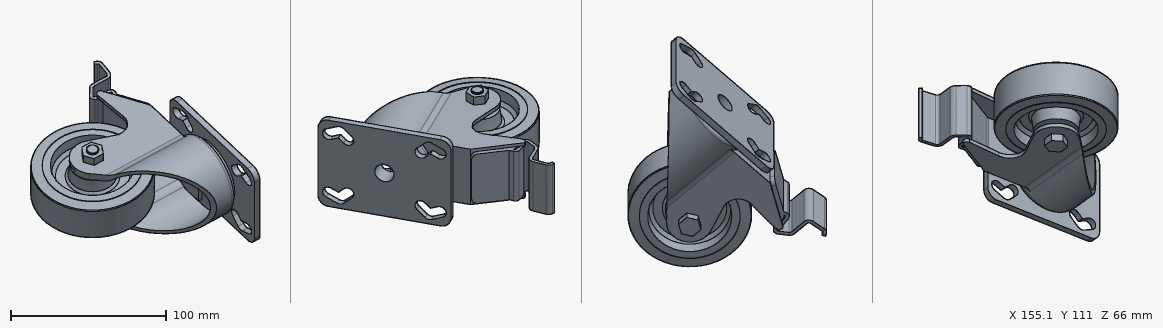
import cadquery as cq
import math


tread_radius = 40.0
tread_half_width = 12.0
tread_edge_inset = 0.5
tread_face_z = 12.7
tread_face_crest_z = 13.3
rim_diameter = 65.0
rim_radius = rim_diameter / 2
rim_face_z = 13.8
recess_radius = 27.1
recess_floor_radius = 23.9
recess_floor_z = 3.9
recess_wall_inset = 0.8
recess_foot_height = 2.3
hub_base_radius = 17.7
hub_radius = 14.5
hub_face_z = 14.7
hub_draft = 1.2
hub_foot_height = 1.5

bolt_radius = 4.0
washer_diameter = 10.4
washer_radius = washer_diameter / 2
hex_across_flats = 13.0
nut_top_z = 27.5
head_bottom_z = -26.5
bolt_end_z = 28.7
bolt_end_chamfer = 0.39

swivel_x = 40.0
head_radius = 28.5
head_top_y = 63.9
head_edge_radius = 2.8
race_radius = 24.2
center_hole_diameter = 13.0
plate_top_y = 71.0
plate_thickness = 4.5
plate_length = 90.2
plate_width = 66.0
plate_corner_radius = 7.3
slot_width = 8.0
slot_path = [(24.8, 20.5), (30.4, 25.5), (37.8, 22.3)]

wall = 2.8
leg_outer_z = 21.2
leg_inner_z = leg_outer_z - wall
cheek_inner_z = leg_inner_z - wall
leg_blend_radius = 7.0
leg_end_radius = 15.0
leg_top_y = 58.3
leg_shoulder_x = -14.3
leg_slope = math.radians(30.5)
leg_tip_x = -45.0
leg_tip_middle = (-44.6, 37.7)
leg_tip_bottom = (-42.8, 36.3)
skirt_corner_y = 48.5
arch_center = (-16.6, 27.6)
arch_radius = 10.5
arch_end_angle = math.radians(97)
bridge_length = 32.4
bridge_bend_radius = 3.1

pedal_width = 37.8
pedal_thickness = 2.3
strap_thickness = 3.1
strap_top_length = 26.4
loop_fill_length = 28.8
loop_fill_height = 2.3
strap_corner_radius = 4.3
pedal_corners = [
    (-69.0, 53.6, 0),
    (-67.1, 56.7, 2.5),
    (-53.3, 55.0, 3.4),
    (-53.3, 39.5, 3.7),
    (-44.5, 32.7, 2.0),
    (-42.0, 37.0, 1.2),
    (-43.5, 40.3, 1.2),
    (-42.0, 47.9, 1.5),
    (-37.2, 47.1, 0),
]

clearance = 1.5
plan_reach = plate_top_y

plate_bottom_y = plate_top_y - plate_thickness
skirt_x = swivel_x + head_radius


def polar(center, radius, angle):
    """Point at a distance and an angle in radians from a center."""
    return (center[0] + radius * math.cos(angle), center[1] + radius * math.sin(angle))


def cylinder_z(radius, z_low, z_high):
    """Cylinder around the wheel axle."""
    return cq.Workplane("XY").workplane(offset=z_low).circle(radius).extrude(z_high - z_low)


def cylinder_y(radius, y_low, y_high):
    """Cylinder around the swivel axis."""
    base = cq.Workplane("XZ", origin=(swivel_x, y_low, 0))
    return base.circle(radius).extrude(y_low - y_high)


def wheel():
    upper_half = [
        (tread_radius, tread_half_width),
        (tread_radius - tread_edge_inset, tread_face_z),
        (rim_radius, tread_face_crest_z),
        (rim_radius, rim_face_z),
        (recess_radius, rim_face_z),
        (recess_radius - recess_wall_inset, recess_floor_z + recess_foot_height),
        (recess_floor_radius, recess_floor_z),
        (hub_base_radius, recess_floor_z),
        (hub_radius + hub_draft, recess_floor_z + hub_foot_height),
        (hub_radius, hub_face_z),
        (0, hub_face_z),
    ]
    lower_half = [(r, -z) for r, z in reversed(upper_half)]
    section = cq.Workplane("XZ").polyline(upper_half + lower_half).close()
    return section.revolve(360, (0, 0), (0, 1))


def axle_bolt():
    shank = cylinder_z(bolt_radius, head_bottom_z, bolt_end_z)
    shank = shank.faces(">Z").chamfer(bolt_end_chamfer)
    washers = cylinder_z(washer_radius, -cheek_inner_z, cheek_inner_z)
    corner_diameter = hex_across_flats / math.cos(math.pi / 6)

    def hexagon(z_low, z_high):
        base = cq.Workplane("XY").workplane(offset=z_low).transformed(rotate=(0, 0, 30))
        return base.polygon(6, corner_diameter).extrude(z_high - z_low)

    nut = hexagon(leg_outer_z, nut_top_z)
    head = hexagon(head_bottom_z, -leg_outer_z)
    return shank.union(washers).union(nut).union(head)


def blend_arc(side_z, blend_radius, radius):
    """Start, middle and end of the arc from a leg face at +Z into the circle of the head."""
    rise = side_z + blend_radius
    start_x = swivel_x - math.sqrt((radius + blend_radius) ** 2 - rise**2)
    center = (start_x, rise)
    end_angle = math.atan2(-rise, swivel_x - start_x)
    middle = polar(center, blend_radius, (end_angle - math.pi / 2) / 2)
    return (start_x, side_z), middle, polar(center, blend_radius, end_angle)


def fork_plan(upper_z, upper_blend, lower_z, lower_blend, radius):
    """Prism along Y: two straight leg faces blended into a round head."""
    upper_start, upper_mid, upper_end = blend_arc(upper_z, upper_blend, radius)
    lower_arc = blend_arc(lower_z, lower_blend, radius)
    lower_start, lower_mid, lower_end = [(x, -z) for x, z in lower_arc]
    left_x = leg_tip_x - clearance
    return (
        cq.Workplane("XZ", origin=(0, plan_reach, 0))
        .moveTo(left_x, -lower_z)
        .lineTo(left_x, upper_z)
        .lineTo(*upper_start)
        .threePointArc(upper_mid, upper_end)
        .threePointArc((swivel_x + radius, 0), lower_end)
        .threePointArc(lower_mid, lower_start)
        .close()
        .extrude(2 * plan_reach)
    )


def fork_profile():
    """Outline of the fork seen along the axle, without the top of the head."""
    axle = (0, 0)
    reach = math.hypot(skirt_x, skirt_corner_y)
    skirt_angle = math.atan2(skirt_corner_y, skirt_x) - math.acos(leg_end_radius / reach)
    beyond_skirt = polar((skirt_x, skirt_corner_y), clearance, skirt_angle + math.pi / 2)
    arch_distance = math.hypot(*arch_center)
    arch_direction = math.atan2(arch_center[1], arch_center[0])
    neck_angle = arch_direction + math.acos((leg_end_radius + arch_radius) / arch_distance)
    arch_start_angle = neck_angle - math.pi
    arch_mid_angle = (arch_start_angle + arch_end_angle) / 2
    end_mid_angle = (skirt_angle + neck_angle - 2 * math.pi) / 2
    leg_tip_top_y = leg_top_y + (leg_tip_x - leg_shoulder_x) * math.tan(leg_slope)
    return (
        cq.Workplane("XY")
        .moveTo(beyond_skirt[0], leg_top_y)
        .lineTo(*beyond_skirt)
        .lineTo(*polar(axle, leg_end_radius, skirt_angle))
        .threePointArc(
            polar(axle, leg_end_radius, end_mid_angle),
            polar(axle, leg_end_radius, neck_angle),
        )
        .lineTo(*polar(arch_center, arch_radius, arch_start_angle))
        .threePointArc(
            polar(arch_center, arch_radius, arch_mid_angle),
            polar(arch_center, arch_radius, arch_end_angle),
        )
        .lineTo(*leg_tip_bottom)
        .threePointArc(leg_tip_middle, (leg_tip_x, leg_tip_top_y))
        .lineTo(leg_shoulder_x, leg_top_y)
        .close()
        .extrude(head_radius + clearance, both=True)
    )


def bridge():
    """Bent web that joins the two legs along their top edges."""
    along = (-math.cos(leg_slope), -math.sin(leg_slope))
    low_x = leg_shoulder_x + bridge_length * along[0]
    low_y = leg_top_y + bridge_length * along[1]
    web = (
        cq.Workplane("XY")
        .moveTo(swivel_x, leg_top_y)
        .lineTo(leg_shoulder_x, leg_top_y)
        .lineTo(low_x, low_y)
        .lineTo(low_x - wall * along[1], low_y + wall * along[0])
        .lineTo(leg_shoulder_x + wall * math.tan(leg_slope / 2), leg_top_y - wall)
        .lineTo(swivel_x, leg_top_y - wall)
        .close()
        .extrude(leg_outer_z, both=True)
    )
    inner_bend = cq.selectors.NearestToPointSelector((leg_shoulder_x, leg_top_y - wall, 0))
    return web.edges("|Z").edges(inner_bend).fillet(bridge_bend_radius)


def fork():
    outer = fork_plan(leg_outer_z, leg_blend_radius, leg_outer_z, leg_blend_radius, head_radius)
    inner = fork_plan(
        cheek_inner_z,
        leg_blend_radius - wall,
        leg_inner_z,
        leg_blend_radius + wall,
        head_radius - wall,
    )
    rear = cq.Workplane("XY").box(-2 * leg_tip_x, 2 * plan_reach, 2 * leg_inner_z)
    rear = rear.translate((leg_tip_x, 0, 0))
    plan = outer.cut(inner).cut(rear)
    head = cylinder_y(head_radius, leg_top_y, head_top_y)
    head = head.faces(">Y").edges().fillet(head_edge_radius)
    return plan.intersect(fork_profile()).union(bridge()).union(head)


def slot(start, end, side_x, side_z):
    """Straight part of a mounting slot between two points given from the plate center."""
    dx = side_x * (end[0] - start[0])
    dz = side_z * (end[1] - start[1])
    length = math.hypot(dx, dz)
    mid_x = swivel_x + side_x * (start[0] + end[0]) / 2
    mid_z = side_z * (start[1] + end[1]) / 2
    return (
        cq.Workplane("XZ", origin=(mid_x, plate_top_y, mid_z))
        .slot2D(length + slot_width, slot_width, math.degrees(math.atan2(dz, dx)))
        .extrude(plate_thickness)
    )


def mounting_plate():
    plate = (
        cq.Workplane("XY")
        .box(plate_length, plate_thickness, plate_width)
        .edges("|Y")
        .fillet(plate_corner_radius)
        .translate((swivel_x, plate_top_y - plate_thickness / 2, 0))
    )
    for side_x in (-1, 1):
        for side_z in (-1, 1):
            for start, end in zip(slot_path, slot_path[1:]):
                plate = plate.cut(slot(start, end, side_x, side_z))
    return plate


def pedal():
    """Sheet swept along the pedal corners with a round bend at each inner corner."""
    start, after_start = pedal_corners[0], pedal_corners[1]
    path = cq.Workplane("XY").moveTo(start[0], start[1])
    for before, corner, after in zip(pedal_corners, pedal_corners[1:], pedal_corners[2:]):
        x, y, radius = corner
        angle_in = math.atan2(y - before[1], x - before[0])
        angle_out = math.atan2(after[1] - y, after[0] - x)
        turn = math.remainder(angle_out - angle_in, 2 * math.pi)
        setback = radius * math.tan(abs(turn) / 2)
        path = path.lineTo(*polar((x, y), -setback, angle_in))
        path = path.tangentArcPoint(polar((x, y), setback, angle_out), relative=False)
    path = path.lineTo(pedal_corners[-1][0], pedal_corners[-1][1])
    direction = cq.Vector(after_start[0] - start[0], after_start[1] - start[1], 0)
    sheet_end = cq.Plane(origin=(start[0], start[1], 0), xDir=(0, 0, 1), normal=direction)
    return cq.Workplane(sheet_end).rect(pedal_width, pedal_thickness).sweep(path)


def strap():
    """Sloped strap lying on the top edges of both legs and reaching into the pedal loop."""
    blank = (
        cq.Workplane("XY")
        .moveTo(0, 0)
        .lineTo(0, strap_thickness)
        .lineTo(-strap_top_length, strap_thickness)
        .lineTo(-loop_fill_length, loop_fill_height)
        .lineTo(-bridge_length, 0)
        .close()
        .extrude(pedal_width / 2, both=True)
    )
    blank = blank.edges(">X and |Y").fillet(strap_corner_radius)
    sloped = blank.rotate((0, 0, 0), (0, 0, 1), math.degrees(leg_slope))
    return sloped.translate((leg_shoulder_x, leg_top_y, 0))


swivel_race = cylinder_y(race_radius, head_top_y, plate_bottom_y)
center_hole = cylinder_y(center_hole_diameter / 2, leg_top_y, plate_top_y)
top = mounting_plate().union(swivel_race).union(fork()).cut(center_hole)
result = top.union(strap()).union(pedal()).union(wheel()).union(axle_bolt())